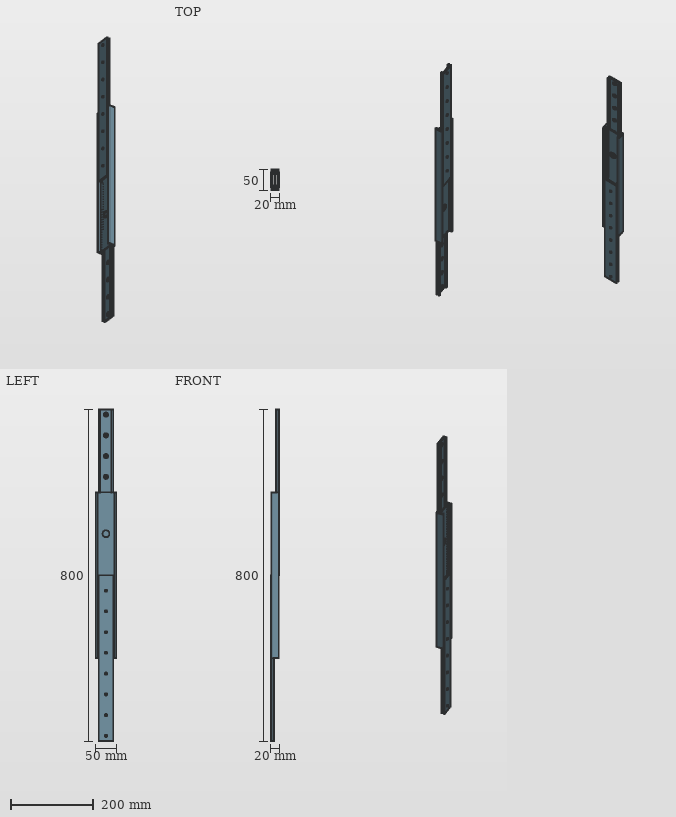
import cadquery as cq


total_length = 800.0
rail_length = total_length / 2
member_length = rail_length
member_bottom = (total_length - member_length) / 2

total_depth = 20.0
rail_outer_x = total_depth / 2
rail_tip_x = 2.0
rail_width = 36.0
rail_half_width = rail_width / 2
rail_back_thickness = 4.0
rail_flange_thickness = 5.0

member_width = 50.0
member_half_width = member_width / 2
member_depth = 18.0
member_flange_thickness = 6.0
web_thickness = 2.0
flange_edge_radius = 2.0

race_radius = 2.0
race_x = (rail_outer_x + rail_tip_x) / 2
member_inner_y = member_half_width - member_flange_thickness
race_y = (rail_half_width + member_inner_y) / 2

hole_count = 8
hole_pitch = rail_length / hole_count
hole_end_distance = 13.0
hole_diameter = 5.2
countersink_diameter = 10.0
countersink_angle = 90

access_hole_diameter = 17.0
access_hole_offset = member_length / 4


def race_cutter(x, y, length):
    """Round bar along Z that cuts one ball race."""
    return cq.Workplane("XY").center(x, y).circle(race_radius).extrude(length)


def make_rail():
    """C-channel rail on the -X side, standing on Z = 0 with its back outward."""
    depth = rail_outer_x - rail_tip_x
    inner_x = -rail_outer_x + rail_back_thickness
    inner_half_width = rail_half_width - rail_flange_thickness
    rail = cq.Workplane("XY").box(
        depth, rail_width, rail_length, centered=(False, True, False)
    ).translate((-rail_outer_x, 0, 0))
    channel = cq.Workplane("XY").box(
        depth, 2 * inner_half_width, rail_length, centered=(False, True, False)
    ).translate((inner_x, 0, 0))
    rail = rail.cut(channel)
    for side in (-1, 1):
        rail = rail.cut(race_cutter(-race_x, side * race_y, rail_length))

    hole_points = [(0, hole_end_distance + i * hole_pitch) for i in range(hole_count)]
    return (
        rail.copyWorkplane(cq.Workplane("YZ", origin=(inner_x, 0, 0)))
        .pushPoints(hole_points)
        .cskHole(hole_diameter, countersink_diameter, countersink_angle)
    )


def make_member():
    """I-shaped intermediate member with a ball race on each inner flange face."""
    flange_y = member_half_width - member_flange_thickness / 2
    member = cq.Workplane("XY").box(
        web_thickness, 2 * flange_y, member_length, centered=(True, True, False)
    )
    for side in (-1, 1):
        flange = (
            cq.Workplane("XY")
            .center(0, side * flange_y)
            .rect(member_depth, member_flange_thickness)
            .extrude(member_length)
            .edges("|Z")
            .fillet(flange_edge_radius)
        )
        member = member.union(flange)
    for x in (-race_x, race_x):
        for y in (-race_y, race_y):
            member = member.cut(race_cutter(x, y, member_length))

    mid_height = member_length / 2
    access_holes = (
        cq.Workplane("YZ")
        .pushPoints([(0, mid_height - access_hole_offset), (0, mid_height + access_hole_offset)])
        .circle(access_hole_diameter / 2)
        .extrude(web_thickness, both=True)
    )
    return member.cut(access_holes).translate((0, 0, member_bottom))


lower_rail = make_rail()
mid_z = total_length / 2
upper_rail = make_rail().rotate((0, 0, mid_z), (0, 1, mid_z), 180)
member = make_member()

result = cq.Compound.makeCompound(
    [lower_rail.solids().val(), upper_rail.solids().val(), member.solids().val()]
)